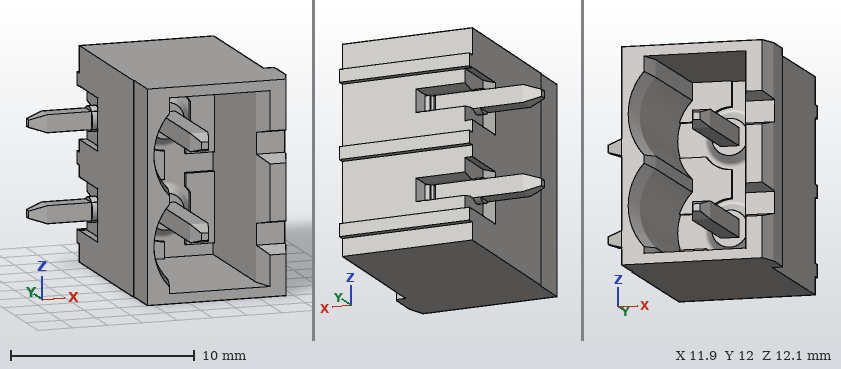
import cadquery as cq


body_width = 7.72
body_depth = 11.6
body_height = 12.08
mouth_band_depth = 2.3
mouth_band_inset = 0.05

flange_out = 0.63
flange_depth = 3.03
flange_lead_in = 0.34
flange_lead_in_depth = 1.09
flange_round = 0.22

pin_x = 3.85
pole_pitch = 5.07
first_pole_z = 3.26
pole_heights = [first_pole_z, first_pole_z + pole_pitch]

end_wall = 0.58
cavity_left = 1.64
cavity_right = 6.7
cavity_floor_y = 8.7
scallop_radius = 3.1
lip_depth = 1.23
lip_flare_left = 0.33
lip_flare_right = 0.39

notch_depth = 1.22
notch_floor_height = 1.22
notch_mouth_height = 1.85

step_rise = 0.24
step_slot_height = 1.97
clearance_radius = 1.74
key_left = 5.07
key_clearance_right = 5.34
key_height = 3.99
key_rise = 0.24

boss_base_radius = 1.45
boss_top_radius = 1.03
boss_rise = 0.54
boss_fillet = 0.24

pin_side = 1.01
pin_tip_side = 0.41
pin_taper = 0.97
pin_tip_y = 1.52
pin_tip_x = -3.5
pin_leg_y = 9.99

recess_depth = 0.43
recess_height = 2.97
recess_floor_front = 9.12
recess_mouth_front = 8.44
collar_radius = 0.71
groove_front = pin_leg_y + pin_side / 2
groove_narrow_y = 10.87
groove_narrow_height = 1.04
groove_wide_height = 1.33
groove_floor_front_x = 3.02
groove_floor_back_x = 3.33
heel_height = 0.9
heel_step_y = 10.69
heel_x = 2.66
heel_end_x = 2.84

rib_rise = 0.4
rib_height = 0.74
rib_heights = [1.39, 5.77, 10.17]


def box(x0, x1, y0, y1, z0, z1):
    return cq.Workplane("XY").box(x1 - x0, y1 - y0, z1 - z0, centered=False).translate((x0, y0, z0))


def box_at(x0, x1, y0, y1, z_mid, height):
    return box(x0, x1, y0, y1, z_mid - height / 2, z_mid + height / 2)


def plan_prism(points, z0, z1):
    """Extrude an outline in X and Y from z0 up to z1."""
    return cq.Workplane("XY").workplane(offset=z0).polyline(points).close().extrude(z1 - z0)


def side_prism(points, x0, x1):
    """Extrude an outline in Y and Z from x0 to x1."""
    return cq.Workplane("YZ").workplane(offset=x0).polyline(points).close().extrude(x1 - x0)


def cone_along_y(z, y0, r0, y1, r1):
    """Cone on a pin axis, with radius r0 at y0 and r1 at y1."""
    profile = [(pin_x, y0), (pin_x + r0, y0), (pin_x + r1, y1), (pin_x, y1)]
    outline = cq.Workplane("XY").workplane(offset=z).polyline(profile).close()
    return outline.revolve(360, (pin_x, 0, 0), (pin_x, 1, 0))


def cylinder_along_y(z, radius, y0, y1):
    return cone_along_y(z, y0, radius, y1, radius)


def housing_block():
    right = body_width + flange_out
    outline = [
        (mouth_band_inset, 0),
        (right - flange_lead_in, 0),
        (right, flange_lead_in_depth),
        (right, flange_depth),
        (body_width, flange_depth),
        (body_width, body_depth),
        (0, body_depth),
        (0, mouth_band_depth),
        (mouth_band_inset, mouth_band_depth),
    ]
    block = plan_prism(outline, 0, body_height)
    flange_corner = cq.selectors.NearestToPointSelector((right, flange_depth, body_height / 2))
    block = block.edges(flange_corner).fillet(flange_round)
    for z in rib_heights:
        block = block.union(box_at(0, body_width, body_depth, body_depth + rib_rise, z, rib_height))
    return block


def cavity():
    bottom = end_wall
    top = body_height - end_wall
    outline = [
        (cavity_left - lip_flare_left, 0),
        (cavity_right + lip_flare_right, 0),
        (cavity_right, lip_depth),
        (cavity_right, cavity_floor_y),
        (cavity_left, cavity_floor_y),
        (cavity_left, lip_depth),
    ]
    space = plan_prism(outline, bottom, top)
    left_half = box(0, pin_x, 0, cavity_floor_y, bottom, top)
    for z in pole_heights:
        flare = cone_along_y(z, 0, scallop_radius + lip_flare_left, lip_depth, scallop_radius)
        bore = cylinder_along_y(z, scallop_radius, lip_depth, cavity_floor_y)
        space = space.union(flare.union(bore).intersect(left_half))
    return space


def keying_notch(z):
    """Notch through the right wall whose upper and lower sides close in toward its floor."""
    mouth = notch_mouth_height / 2
    floor = notch_floor_height / 2
    outline = [(0, z - mouth), (notch_depth, z - floor), (notch_depth, z + floor), (0, z + mouth)]
    return side_prism(outline, (pin_x + cavity_right) / 2, body_width + flange_out)


def left_step():
    """Raised left half of the floor, opened around each pin and slotted out to the left."""
    step_y = cavity_floor_y - step_rise
    step = box(0, pin_x, step_y, cavity_floor_y, 0, body_height)
    for z in pole_heights:
        step = step.cut(cylinder_along_y(z, clearance_radius, step_y, cavity_floor_y))
        step = step.cut(box_at(0, pin_x, step_y, cavity_floor_y, z, step_slot_height))
    return step.intersect(cavity())


def key_block(z):
    top_y = cavity_floor_y - key_rise
    block = box_at(key_left, cavity_right, top_y, cavity_floor_y, z, key_height)
    clearance = cylinder_along_y(z, clearance_radius, top_y, cavity_floor_y)
    return block.cut(clearance.intersect(box(0, key_clearance_right, 0, body_depth, 0, body_height)))


def boss(z):
    """Conical boss blended into the cavity floor, on a short root that lies inside the floor."""
    root_y = cavity_floor_y + boss_fillet
    root = cylinder_along_y(z, boss_base_radius + 2 * boss_fillet, cavity_floor_y, root_y)
    cone = cone_along_y(z, cavity_floor_y - boss_rise, boss_top_radius, cavity_floor_y, boss_base_radius)
    inner_corner = cq.selectors.RadiusNthSelector(1)
    return root.union(cone).edges("%CIRCLE").edges(inner_corner).fillet(boss_fillet)


def leg_recess(z):
    """Recess in the left side, open to the back, with a sloping front and a collar left standing."""
    bottom = z - recess_height / 2
    outline = [
        (0, recess_mouth_front),
        (recess_depth, recess_floor_front),
        (recess_depth, body_depth),
        (0, body_depth),
    ]
    recess = plan_prism(outline, bottom, bottom + recess_height)
    collar = cq.Workplane("YZ").center(pin_leg_y, z).circle(collar_radius).extrude(recess_depth)
    return recess.cut(collar)


def rear_groove(z):
    """Slot from the back into the recess, widening to the back and with a sloping bottom."""
    narrow = groove_narrow_height / 2
    wide = groove_wide_height / 2
    outline = [
        (groove_front, z - narrow),
        (groove_narrow_y, z - narrow),
        (body_depth, z - wide),
        (body_depth, z + wide),
        (groove_narrow_y, z + narrow),
        (groove_front, z + narrow),
    ]
    bottom_outline = [
        (0, groove_front),
        (groove_floor_front_x, groove_front),
        (groove_floor_back_x, body_depth),
        (0, body_depth),
    ]
    slot = side_prism(outline, 0, groove_floor_back_x)
    return slot.intersect(plan_prism(bottom_outline, 0, body_height))


def square_pin(plane, length):
    """Square bar of the given total length along the plane normal, with a pyramid tip at its far end."""
    straight = length - pin_taper
    bar = cq.Workplane(plane).rect(pin_side, pin_side).extrude(straight)
    tip = cq.Workplane(plane).workplane(offset=straight).rect(pin_side, pin_side)
    tip = tip.workplane(offset=pin_taper).rect(pin_tip_side, pin_tip_side).loft(ruled=True)
    return bar.union(tip)


def bent_pin(z):
    """Contact and outgoing leg meeting at a corner, with a stepped heel at the front of the groove."""
    corner = (pin_x, pin_leg_y, z)
    leg_plane = cq.Plane(origin=corner, xDir=(0, 1, 0), normal=(-1, 0, 0))
    contact_plane = cq.Plane(origin=corner, xDir=(1, 0, 0), normal=(0, -1, 0))
    leg = square_pin(leg_plane, pin_x - pin_tip_x)
    contact = square_pin(contact_plane, pin_leg_y - pin_tip_y)
    half = pin_side / 2
    heel = box_at(heel_x, pin_x + half, pin_leg_y, heel_step_y, z, heel_height)
    heel_end = box_at(heel_end_x, pin_x + half, heel_step_y, groove_narrow_y, z, heel_height)
    return leg.union(contact).union(heel).union(heel_end)


result = housing_block().cut(cavity()).union(left_step())
for pole_z in pole_heights:
    result = result.cut(keying_notch(pole_z))
    result = result.union(boss(pole_z)).union(key_block(pole_z))
    result = result.cut(leg_recess(pole_z)).cut(rear_groove(pole_z))
    result = result.union(bent_pin(pole_z))